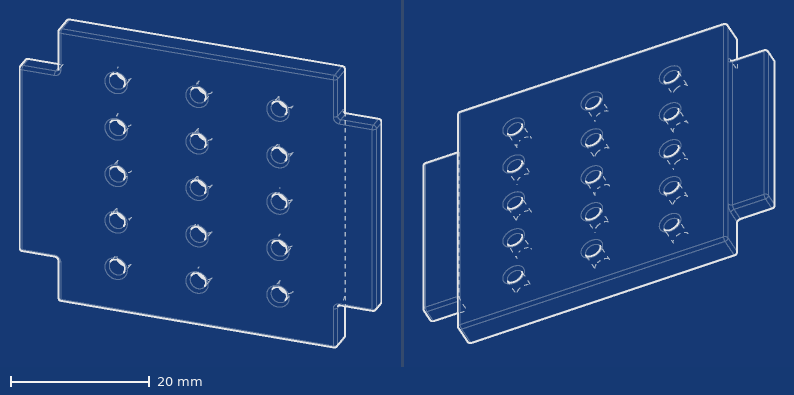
import cadquery as cq

length = 55.0
thickness = 4.0
height = 44.0

block_length = 43.0
ear_height = 30.05
ear_thickness = 3.0

hole_diameter = 2.5
hole_columns = 3
hole_rows = 5
column_pitch = 12.5
row_pitch = ear_height / (hole_rows - 1)

edge_radius = 0.49

front_y = -thickness / 2


def front_plate(size_x, size_y, size_z):
    """Plate centred in X and Z whose front face lies on the common front plane."""
    return cq.Workplane("XY").box(size_x, size_y, size_z).translate((0, front_y + size_y / 2, 0))


def hole_grid():
    """Cylinders along Y, long enough to pass through the block."""
    return (
        cq.Workplane("XZ", origin=(0, front_y, 0))
        .rarray(column_pitch, row_pitch, hole_columns, hole_rows)
        .circle(hole_diameter / 2)
        .extrude(-thickness)
    )


block = front_plate(block_length, thickness, height)
ears = front_plate(length, ear_thickness, ear_height)
body = block.union(ears).clean()

drilled = body.cut(hole_grid())
result = drilled.edges().fillet(edge_radius)